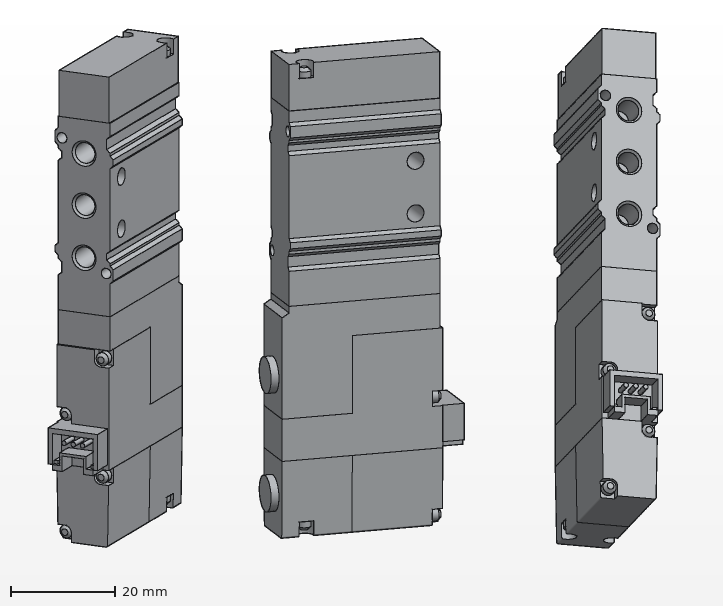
import cadquery as cq

TOTAL_HEIGHT = 93.8
CAP_BOTTOM = 84.6
BODY_BOTTOM = 46.0
PILOT_TOP = 39.1
BAND_TOP = 23.7
BAND_BOTTOM = 15.4

BODY_FRONT = -14.3
BODY_REAR = 16.2
PILOT_FRONT = -14.8
PILOT_REAR = 17.6
SPLIT_Y = 3.5

HALF_WIDTH = 5.5
CAP_HALF_WIDTH = 5.3
RAIL_HALF_WIDTH = 6.2
LOWER_END_HALF_WIDTH = 5.25
BOTTOM_ROUND = 0.4

ADAPTER_CHAMFER_TOP = 44.65
ADAPTER_CHAMFER_BOTTOM = 43.8

PORT_CENTRE_Z = 67.4
PORT_PITCH = 10.4
PORT_RADIUS = 2.1
PORT_MOUTH_RADIUS = 2.5
PORT_DEPTH = 7.5
CROSS_HOLE_RADIUS = 1.7
CROSS_HOLE_Y = -9.3
RAIL_HOLE_RADIUS = 1.0
RAIL_HOLE_X = 4.7
RAIL_HOLE_OFFSET_Z = 12.9

FLANK = 0.7
GROOVE_DEPTH = 0.75
LONG_RAIL = (11.35, 14.9)
SHORT_GROOVE = (8.35, 10.9)
SHORT_RAIL = (-10.6, -8.1)
LONG_GROOVE = (-14.5, -11.2)

HEAD_RADIUS = 1.3
HEAD_TIP_RADIUS = 0.7
HEAD_CONE = 0.7
END_HEAD_RIM = 1.2
FRONT_HEAD_RIM = 1.4
END_SCREW_X = 3.9
END_SCREW_Y = 12.7
END_RECESS_X = 4.4
END_RECESS_RADIUS = 1.7
END_RECESS_DEPTH = 3.0
FRONT_SCREW_X = 3.8
FRONT_RECESS_RADIUS = 1.4
FRONT_RECESS_DEPTH = FRONT_HEAD_RIM + HEAD_CONE
UNIT_PITCH = 23.45
UPPER_SCREW_Z = 37.2
LOWER_SCREW_Z = 25.3

BUTTON_RADIUS = 3.6
BUTTON_LENGTH = 1.6
UPPER_BUTTON_Z = 31.2

PLUG_HALF_WIDTH = 5.25
PLUG_FRONT = -19.2
PLUG_STEP_Z = 16.5
PLUG_LIP_HALF_WIDTH = 4.3
PLUG_WALL_TOP = 1.0
CAVITY_DEPTH = 3.9
KEY_HALF_WIDTH = 2.8
KEY_HEIGHT = 3.7
KEY_WALL = 0.6
PAD_WIDTH = 0.8
PAD_HEIGHT = 0.7
PAD_SETBACK = 0.75
PIN_RADIUS = 0.5
PIN_PITCH = 2.0
PIN_Z = 21.0
PIN_LENGTH = 3.75


def block(x0, x1, y0, y1, z0, z1):
    """Box between two opposite corners."""
    return cq.Workplane("XY").box(x1 - x0, y1 - y0, z1 - z0, centered=False).translate((x0, y0, z0))


def rod(radius, length, start, direction):
    """Cylinder that starts at a point and runs along a direction."""
    return cq.Workplane(cq.Solid.makeCylinder(radius, length, cq.Vector(*start), cq.Vector(*direction)))


def screw_head(seat, direction, rim):
    """Round head with a conical end, standing on its seat."""
    base = cq.Vector(*seat)
    axis = cq.Vector(*direction)
    cone = cq.Solid.makeCone(HEAD_RADIUS, HEAD_TIP_RADIUS, HEAD_CONE, base + axis * rim, axis)
    return rod(HEAD_RADIUS, rim, seat, direction).union(cq.Workplane(cone))


def add_end_screws(body, end_z, outward):
    """Two screws sunk into a Z end; each round recess breaks out of the nearer side."""
    seat_z = end_z - outward * END_RECESS_DEPTH
    axis = (0, 0, outward)
    for side in (-1, 1):
        recess_floor = (side * END_RECESS_X, END_SCREW_Y, seat_z)
        seat = (side * END_SCREW_X, END_SCREW_Y, seat_z)
        body = body.cut(rod(END_RECESS_RADIUS, END_RECESS_DEPTH, recess_floor, axis))
        body = body.union(screw_head(seat, axis, END_HEAD_RIM))
    return body


def add_front_screw(body, side, screw_z, edge_z):
    """Screw sunk into the front, in a recess open to one side and reaching edge_z."""
    x = side * FRONT_SCREW_X
    inner_x = x - side * FRONT_RECESS_RADIUS
    away = 1 if screw_z > edge_z else -1
    far_z = screw_z + away * FRONT_RECESS_RADIUS
    low_x, high_x = sorted((inner_x, side * RAIL_HALF_WIDTH))
    low_z, high_z = sorted((far_z, edge_z))
    seat_y = PILOT_FRONT + FRONT_RECESS_DEPTH
    inner_corner = cq.selectors.NearestToPointSelector((inner_x, PILOT_FRONT, far_z))
    recess = (
        block(low_x, high_x, PILOT_FRONT, seat_y, low_z, high_z)
        .edges("|Y").edges(inner_corner).fillet(FRONT_RECESS_RADIUS)
    )
    return body.cut(recess).union(screw_head((x, seat_y, screw_z), (0, -1, 0), FRONT_HEAD_RIM))


def make_end_cap():
    cap = block(-CAP_HALF_WIDTH, CAP_HALF_WIDTH, BODY_FRONT, BODY_REAR, CAP_BOTTOM, TOTAL_HEIGHT)
    return add_end_screws(cap, TOTAL_HEIGHT, 1)


def side_step(span, peak_x):
    """Trapezoid rail or groove on the left side, listed from top to bottom."""
    low, high = span
    return [
        (-HALF_WIDTH, high),
        (-peak_x, high - FLANK),
        (-peak_x, low + FLANK),
        (-HALF_WIDTH, low),
    ]


def make_valve_body():
    """Body whose two sides match after half a turn about the middle port."""
    groove_x = HALF_WIDTH - GROOVE_DEPTH
    left = (
        side_step(LONG_RAIL, RAIL_HALF_WIDTH)
        + side_step(SHORT_GROOVE, groove_x)
        + side_step(SHORT_RAIL, RAIL_HALF_WIDTH)
        + side_step(LONG_GROOVE, groove_x)
    )
    right = [(-x, -z) for x, z in left]
    top = CAP_BOTTOM - PORT_CENTRE_Z
    bottom = BODY_BOTTOM - PORT_CENTRE_Z
    outline = (
        [(-HALF_WIDTH, top)] + left + [(-HALF_WIDTH, bottom), (HALF_WIDTH, bottom)]
        + right + [(HALF_WIDTH, top)]
    )
    depth = BODY_REAR - BODY_FRONT
    body = (
        cq.Workplane("XZ", origin=(0, BODY_REAR, PORT_CENTRE_Z))
        .polyline(outline).close().extrude(depth)
    )
    mouth_depth = PORT_MOUTH_RADIUS - PORT_RADIUS
    for step in (-1, 0, 1):
        mouth = (0, BODY_FRONT, PORT_CENTRE_Z + step * PORT_PITCH)
        cone = cq.Solid.makeCone(
            PORT_MOUTH_RADIUS, PORT_RADIUS, mouth_depth, cq.Vector(*mouth), cq.Vector(0, 1, 0)
        )
        body = body.cut(rod(PORT_RADIUS, PORT_DEPTH, mouth, (0, 1, 0))).cut(cq.Workplane(cone))
    for side in (-1, 1):
        cross_z = PORT_CENTRE_Z + side * PORT_PITCH / 2
        cross_start = (-RAIL_HALF_WIDTH, CROSS_HOLE_Y, cross_z)
        body = body.cut(rod(CROSS_HOLE_RADIUS, 2 * RAIL_HALF_WIDTH, cross_start, (1, 0, 0)))
        rail_start = (side * RAIL_HOLE_X, BODY_FRONT, PORT_CENTRE_Z - side * RAIL_HOLE_OFFSET_Z)
        body = body.cut(rod(RAIL_HOLE_RADIUS, depth, rail_start, (0, 1, 0)))
    return body


def make_adapter():
    """L-shaped block under the valve body, with a leg down the rear."""
    outline = [
        (BODY_FRONT, BODY_BOTTOM),
        (BODY_REAR, BODY_BOTTOM),
        (BODY_REAR, ADAPTER_CHAMFER_TOP),
        (PILOT_REAR, ADAPTER_CHAMFER_BOTTOM),
        (PILOT_REAR, BAND_TOP),
        (SPLIT_Y, BAND_TOP),
        (SPLIT_Y, PILOT_TOP),
        (BODY_FRONT, PILOT_TOP),
    ]
    return (
        cq.Workplane("YZ", origin=(-HALF_WIDTH, 0, 0))
        .polyline(outline).close().extrude(2 * HALF_WIDTH)
    )


def add_connector(body):
    """Keyed plug housing with three pins on the front of the pilot block."""
    cavity_floor_y = PLUG_FRONT + CAVITY_DEPTH
    key_top = BAND_BOTTOM + KEY_HEIGHT
    key_inner = KEY_HALF_WIDTH - KEY_WALL
    housing = block(
        -PLUG_HALF_WIDTH, PLUG_HALF_WIDTH, PLUG_FRONT, PILOT_FRONT, PLUG_STEP_Z, BAND_TOP
    ).union(block(
        -PLUG_LIP_HALF_WIDTH, PLUG_LIP_HALF_WIDTH, PLUG_FRONT, PILOT_FRONT, BAND_BOTTOM, PLUG_STEP_Z
    ))
    cavity = block(
        -PLUG_LIP_HALF_WIDTH, PLUG_LIP_HALF_WIDTH,
        PLUG_FRONT, cavity_floor_y,
        PLUG_STEP_Z, BAND_TOP - PLUG_WALL_TOP,
    )
    key = block(
        -KEY_HALF_WIDTH, KEY_HALF_WIDTH, PLUG_FRONT, cavity_floor_y, BAND_BOTTOM, key_top
    )
    keyway = block(
        -key_inner, key_inner, PLUG_FRONT, PILOT_FRONT, BAND_BOTTOM, key_top - KEY_WALL
    )
    housing = housing.cut(cavity).union(key).cut(keyway)
    for side in (-1, 1):
        low_x, high_x = sorted((side * PLUG_LIP_HALF_WIDTH, side * (PLUG_LIP_HALF_WIDTH - PAD_WIDTH)))
        housing = housing.union(block(
            low_x, high_x,
            PLUG_FRONT + PAD_SETBACK, cavity_floor_y,
            PLUG_STEP_Z, PLUG_STEP_Z + PAD_HEIGHT,
        ))
    for step in (-1, 0, 1):
        pin_root = (step * PIN_PITCH, cavity_floor_y, PIN_Z)
        housing = housing.union(rod(PIN_RADIUS, PIN_LENGTH, pin_root, (0, -1, 0)))
    return body.union(housing)


def make_pilot_block():
    """L-shaped block with a band across the full depth, carrying the connector."""
    front = block(-HALF_WIDTH, HALF_WIDTH, PILOT_FRONT, SPLIT_Y, BAND_BOTTOM, PILOT_TOP)
    band = block(-HALF_WIDTH, HALF_WIDTH, PILOT_FRONT, PILOT_REAR, BAND_BOTTOM, BAND_TOP)
    body = front.union(band)
    body = add_front_screw(body, 1, UPPER_SCREW_Z, PILOT_TOP)
    body = add_front_screw(body, -1, LOWER_SCREW_Z, BAND_TOP)
    return add_connector(body)


def lower_block(front_y, rear_y):
    """Block that narrows slightly downwards, with rounded bottom side edges."""
    outline = [
        (-HALF_WIDTH, BAND_BOTTOM),
        (HALF_WIDTH, BAND_BOTTOM),
        (LOWER_END_HALF_WIDTH, 0),
        (-LOWER_END_HALF_WIDTH, 0),
    ]
    body = cq.Workplane("XZ", origin=(0, rear_y, 0)).polyline(outline).close().extrude(rear_y - front_y)
    return body.faces("<Z").edges("|Y").fillet(BOTTOM_ROUND)


def make_lower_front_block():
    body = lower_block(PILOT_FRONT, SPLIT_Y)
    body = add_front_screw(body, 1, UPPER_SCREW_Z - UNIT_PITCH, BAND_BOTTOM)
    return add_front_screw(body, -1, LOWER_SCREW_Z - UNIT_PITCH, 0)


def make_lower_rear_block():
    return add_end_screws(lower_block(SPLIT_Y, PILOT_REAR), 0, -1)


def make_button(z):
    return rod(BUTTON_RADIUS, BUTTON_LENGTH, (0, PILOT_REAR, z), (0, 1, 0))


end_cap = make_end_cap()
valve_body = make_valve_body()
adapter = make_adapter()
pilot_block = make_pilot_block()
lower_front_block = make_lower_front_block()
lower_rear_block = make_lower_rear_block()
buttons = [make_button(UPPER_BUTTON_Z - unit * UNIT_PITCH) for unit in range(2)]

result = cq.Compound.makeCompound([
    end_cap.val(),
    valve_body.val(),
    adapter.val(),
    pilot_block.val(),
    lower_front_block.val(),
    lower_rear_block.val(),
    *[button.val() for button in buttons],
])